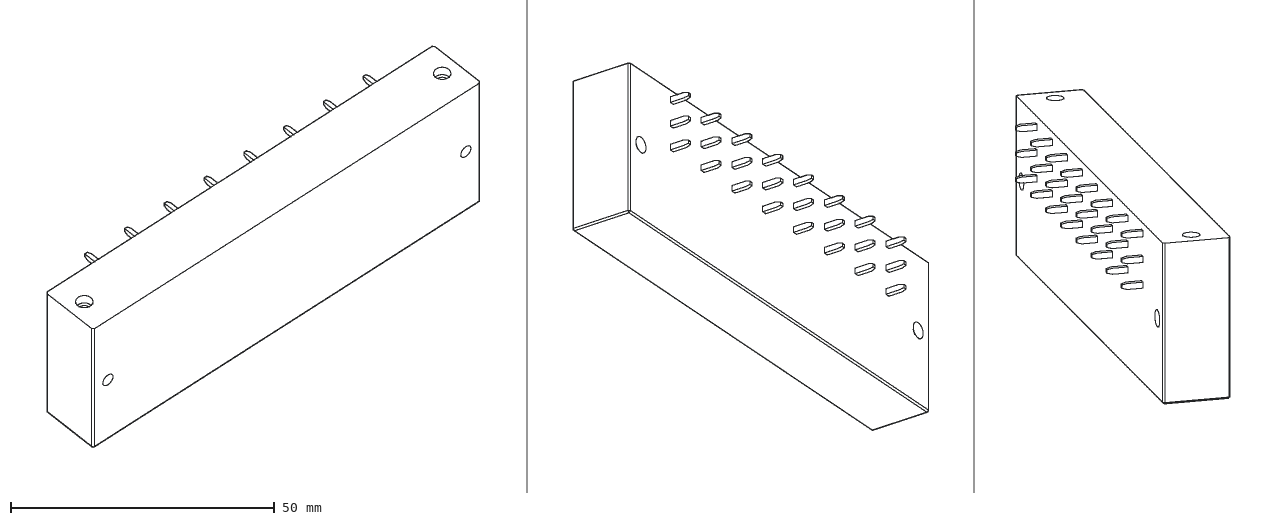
import cadquery as cq

BODY_DEPTH = 13.4
BODY_LENGTH = 99.0
BODY_HEIGHT = 32.0
EDGE_BREAK = 0.37

BORE_SPACING = 91.4
BORE_DIAMETER = 2.6
MOUTH_DIAMETER = 3.3
MOUTH_DEPTH = 2.0
TOP_BORE_OVERRUN = 0.1
BORE_Y_POSITIONS = (-BORE_SPACING / 2, BORE_SPACING / 2)

PIN_LENGTH = 4.1
PIN_TIP_LENGTH = 1.0
PIN_WIDTH = 1.0
PIN_HEIGHT = 1.2
PIN_TIP_WIDTH = 0.7
PIN_TIP_HEIGHT = 0.7
PIN_COLUMNS = 8
PIN_COLUMN_SPAN = 71.1
PIN_ROWS = 3
PIN_ROW_SPAN = 10.2
TOP_ROW_INSET = 2.1


def make_body():
    """Block with its upright and lower edges broken by a small chamfer."""
    block = cq.Workplane("XY").box(
        BODY_DEPTH, BODY_LENGTH, BODY_HEIGHT, centered=(False, True, False)
    )
    return block.edges("|Z or <Z").chamfer(EDGE_BREAK)


def make_stepped_bore(mouth_face, bore_depth):
    """Bore running inward from a mouth: wide entry, 45 degree shoulder, then the narrow bore."""
    mouth_radius = MOUTH_DIAMETER / 2
    bore_radius = BORE_DIAMETER / 2
    shoulder_end = MOUTH_DEPTH + mouth_radius - bore_radius
    profile = (
        cq.Workplane("XZ")
        .moveTo(0, 0)
        .lineTo(mouth_radius, 0)
        .lineTo(mouth_radius, -MOUTH_DEPTH)
        .lineTo(bore_radius, -shoulder_end)
        .lineTo(bore_radius, -bore_depth)
        .lineTo(0, -bore_depth)
        .close()
    )
    bore = profile.revolve(360, (0, 0), (0, 1)).val()
    return bore.moved(cq.Location(mouth_face))


def make_cross_bore(y):
    """Stepped bore from the pin face right through the block."""
    pin_face = cq.Plane((0, y, BODY_HEIGHT / 2), xDir=(0, 1, 0), normal=(-1, 0, 0))
    return make_stepped_bore(pin_face, BODY_DEPTH)


def make_top_bore(y):
    """Stepped bore from the top face, ending just past the axis of the cross bore."""
    top_face = cq.Plane((BODY_DEPTH / 2, y, BODY_HEIGHT))
    return make_stepped_bore(top_face, BODY_HEIGHT / 2 + TOP_BORE_OVERRUN)


def make_pin(y, z):
    """Rectangular pin with a tapered tip."""
    shank_length = PIN_LENGTH - PIN_TIP_LENGTH
    shank = (
        cq.Workplane("YZ", origin=(-shank_length, y, z))
        .rect(PIN_WIDTH, PIN_HEIGHT)
        .extrude(shank_length)
    )
    tip = (
        cq.Workplane("YZ", origin=(-PIN_LENGTH, y, z))
        .rect(PIN_TIP_WIDTH, PIN_TIP_HEIGHT)
        .workplane(offset=PIN_TIP_LENGTH)
        .rect(PIN_WIDTH, PIN_HEIGHT)
        .loft()
    )
    return shank.union(tip)


result = make_body()

for bore_y in BORE_Y_POSITIONS:
    result = result.cut(make_cross_bore(bore_y))
    result = result.cut(make_top_bore(bore_y))

for column in range(PIN_COLUMNS):
    pin_y = (column / (PIN_COLUMNS - 1) - 0.5) * PIN_COLUMN_SPAN
    for row in range(PIN_ROWS):
        pin_z = BODY_HEIGHT - TOP_ROW_INSET - row / (PIN_ROWS - 1) * PIN_ROW_SPAN
        result = result.union(make_pin(pin_y, pin_z))